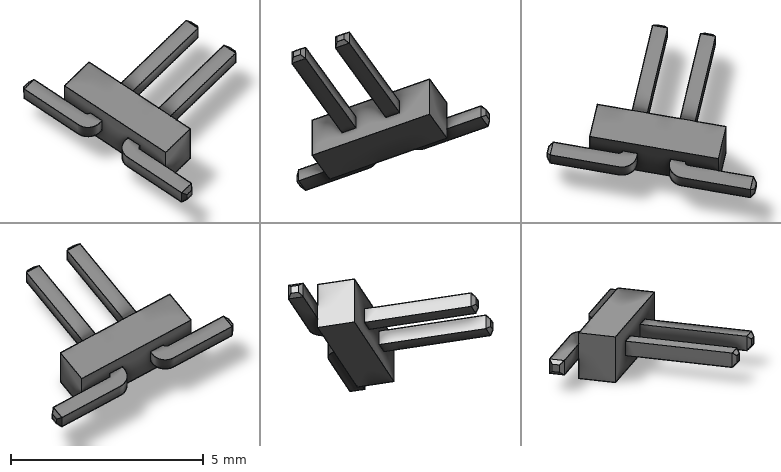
import cadquery as cq

BODY_LENGTH = 3.41
BODY_DEPTH = 1.0
BODY_HEIGHT = 1.27

SPAN = 5.5
TOTAL_DEPTH = 4.5
PITCH = 1.27
PIN_SIZE = 0.4
OUTER_BEND_RADIUS = 0.395
INNER_BEND_RADIUS = 0.1
TIP_CHAMFER = 0.1
FOOT_TO_BODY = 0.495

FOOT_Y = -FOOT_TO_BODY
PIN_END_Y = FOOT_Y + TOTAL_DEPTH


def make_body():
    return cq.Workplane("XY").box(
        BODY_LENGTH, BODY_DEPTH, BODY_HEIGHT, centered=(True, False, True)
    )


def make_pin():
    """Right-hand L-shaped pin with a rounded bend and chamfered tips."""
    inner_x = (PITCH - PIN_SIZE) / 2
    outer_x = inner_x + PIN_SIZE
    tip_x = SPAN / 2
    foot_top_y = FOOT_Y + PIN_SIZE
    pin = (
        cq.Workplane("XY")
        .moveTo(inner_x, FOOT_Y)
        .lineTo(tip_x, FOOT_Y)
        .lineTo(tip_x, foot_top_y)
        .lineTo(outer_x, foot_top_y)
        .lineTo(outer_x, PIN_END_Y)
        .lineTo(inner_x, PIN_END_Y)
        .close()
        .extrude(PIN_SIZE / 2, both=True)
    )
    outer_corner = cq.selectors.NearestToPointSelector((inner_x, FOOT_Y, 0))
    inner_corner = cq.selectors.NearestToPointSelector((outer_x, foot_top_y, 0))
    pin = pin.edges("|Z").edges(outer_corner).fillet(OUTER_BEND_RADIUS)
    pin = pin.edges("|Z").edges(inner_corner).fillet(INNER_BEND_RADIUS)
    pin = pin.faces(">X").chamfer(TIP_CHAMFER)
    return pin.faces(">Y").chamfer(TIP_CHAMFER)


right_pin = make_pin()
left_pin = right_pin.mirror("YZ")
result = make_body().union(right_pin).union(left_pin)